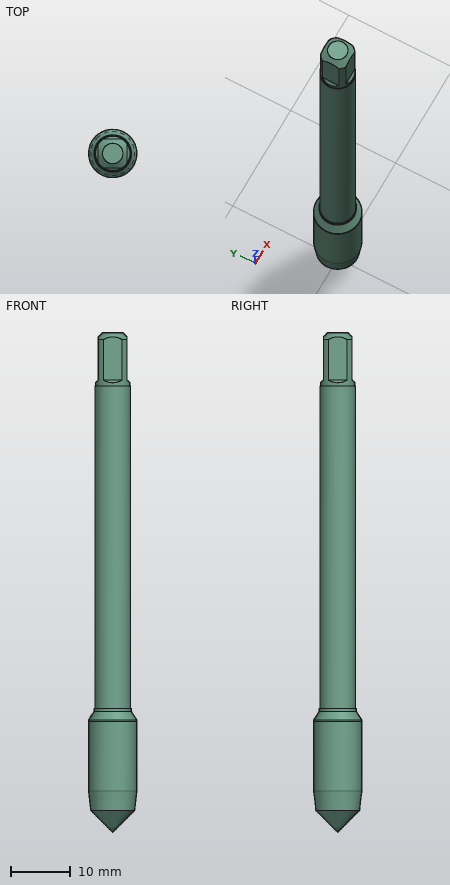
import cadquery as cq

total_length = 83.4
head_bottom = 6.9
head_top = 18.5
shoulder_bottom = 18.8
collar_bottom = 20.2
collar_top = 20.7
drive_bottom = 74.5
flat_bottom = 75.5

head_diameter = 8.1
point_diameter = 7.3
collar_diameter = 6.25
shaft_diameter = 6.0
drive_diameter = 5.75
square_width = 4.8
end_face_diameter = 3.4

end_chamfer = 1.2

point_height = point_diameter / 2


def revolved(profile):
    """Revolve a closed (radius, height) profile about the Z axis."""
    return cq.Workplane("XZ").polyline(profile).close().revolve(360, (0, 0), (0, 1))


def make_cutting_head():
    """Pointed head: cone point, tapered lead and full-diameter cylinder."""
    return revolved([
        (0, 0),
        (point_diameter / 2, point_height),
        (head_diameter / 2, head_bottom),
        (head_diameter / 2, head_top),
        (0, head_top),
    ])


def make_drive_flat_cutter():
    """Cutter for one drive flat on the +X side, with a 45 degree sloping run-out."""
    inner = square_width / 2
    outer = head_diameter / 2
    return (
        cq.Workplane("XZ")
        .polyline([
            (inner, flat_bottom),
            (outer, flat_bottom - (outer - inner)),
            (outer, total_length),
            (inner, total_length),
        ])
        .close()
        .extrude(shaft_diameter / 2, both=True)
    )


def make_shank():
    """Round shank with a conical shoulder below and a square drive on top."""
    shank = revolved([
        (0, head_top),
        (head_diameter / 2, head_top),
        (head_diameter / 2, shoulder_bottom),
        (collar_diameter / 2, collar_bottom),
        (collar_diameter / 2, collar_top),
        (shaft_diameter / 2, collar_top),
        (shaft_diameter / 2, drive_bottom),
        (drive_diameter / 2, drive_bottom),
        (drive_diameter / 2, total_length - end_chamfer),
        (end_face_diameter / 2, total_length),
        (0, total_length),
    ])
    cutter = make_drive_flat_cutter()
    for angle in (0, 90, 180, 270):
        shank = shank.cut(cutter.rotate((0, 0, 0), (0, 0, 1), angle))
    return shank


cutting_head = make_cutting_head()
shank = make_shank()

result = cq.Compound.makeCompound([cutting_head.val(), shank.val()])